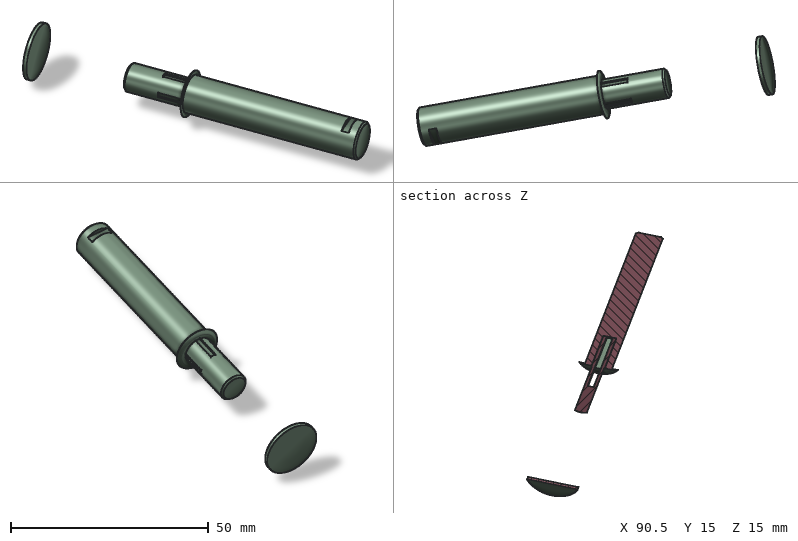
import cadquery as cq

overall_length = 90.5

disc_diameter = 15.0
disc_thickness = 1.0

barrel_diameter = 10.0
barrel_front = 42.4
barrel_chamfer = 0.45

flange_diameter = 12.3
flange_length = 0.5
flange_rim_thickness = 0.1
flange_bulge = 0.1

flat_span = 8.0
notch_start = 85.9
notch_length = 2.0

plunger_diameter = 7.6
plunger_tip_diameter = 6.6
plunger_front = 26.0
seat_depth = 10.9

keyway_floor_diameter = 6.4
keyway_width = 1.45
keyway_start = 35.6
keyway_count = 4

plunger_end = barrel_front + seat_depth
plunger_chamfer = (plunger_diameter - plunger_tip_diameter) / 2


def rod(diameter, start, end):
    """Cylinder along X between two positions."""
    return cq.Workplane("YZ", origin=(start, 0, 0)).circle(diameter / 2).extrude(end - start)


def make_disc():
    """Plain round disc standing apart in front of the plunger."""
    return rod(disc_diameter, 0, disc_thickness)


def make_flange():
    """Thin collar whose front face rounds out from the barrel diameter to the rim."""
    barrel_radius = barrel_diameter / 2
    flange_radius = flange_diameter / 2
    flange_back = barrel_front + flange_length
    rim_front = flange_back - flange_rim_thickness
    bulge_point = (
        (barrel_front + rim_front) / 2 - flange_bulge,
        (barrel_radius + flange_radius) / 2,
    )
    return (
        cq.Workplane("XY")
        .moveTo(barrel_front, 0)
        .lineTo(barrel_front, barrel_radius)
        .threePointArc(bulge_point, (rim_front, flange_radius))
        .lineTo(flange_back, flange_radius)
        .lineTo(flange_back, 0)
        .close()
        .revolve(360, (0, 0, 0), (1, 0, 0))
    )


def make_notch(side):
    """Flat-bottomed cutter across the barrel, above (+1) or below (-1) the axis."""
    notch_depth = (barrel_diameter - flat_span) / 2
    notch_centre = notch_start + notch_length / 2
    return (
        cq.Workplane("XY")
        .box(notch_length, barrel_diameter, notch_depth)
        .translate((notch_centre, 0, side * (flat_span + notch_depth) / 2))
    )


def make_barrel():
    """Flanged barrel with a blind seat for the plunger and two retaining notches."""
    barrel = rod(barrel_diameter, barrel_front, overall_length).faces(">X").chamfer(barrel_chamfer)
    barrel = barrel.union(make_flange())
    for side in (1, -1):
        barrel = barrel.cut(make_notch(side))
    return barrel.cut(rod(plunger_diameter, barrel_front, plunger_end))


def make_plunger():
    """Chamfered plunger with equally spaced keyways open at its rear end."""
    plunger = rod(plunger_diameter, plunger_front, plunger_end)
    plunger = plunger.faces("<X").chamfer(plunger_chamfer)
    keyway_length = plunger_end - keyway_start
    floor_radius = keyway_floor_diameter / 2
    keyway = (
        cq.Workplane("XY", origin=(keyway_start + keyway_length / 2, 0, floor_radius))
        .rect(keyway_length, keyway_width)
        .extrude(plunger_diameter / 2)
    )
    for index in range(keyway_count):
        angle = index * 360 / keyway_count
        plunger = plunger.cut(keyway.rotate((0, 0, 0), (1, 0, 0), angle))
    return plunger


disc = make_disc()
barrel = make_barrel()
plunger = make_plunger()

result = cq.Compound.makeCompound([disc.val(), barrel.val(), plunger.val()])